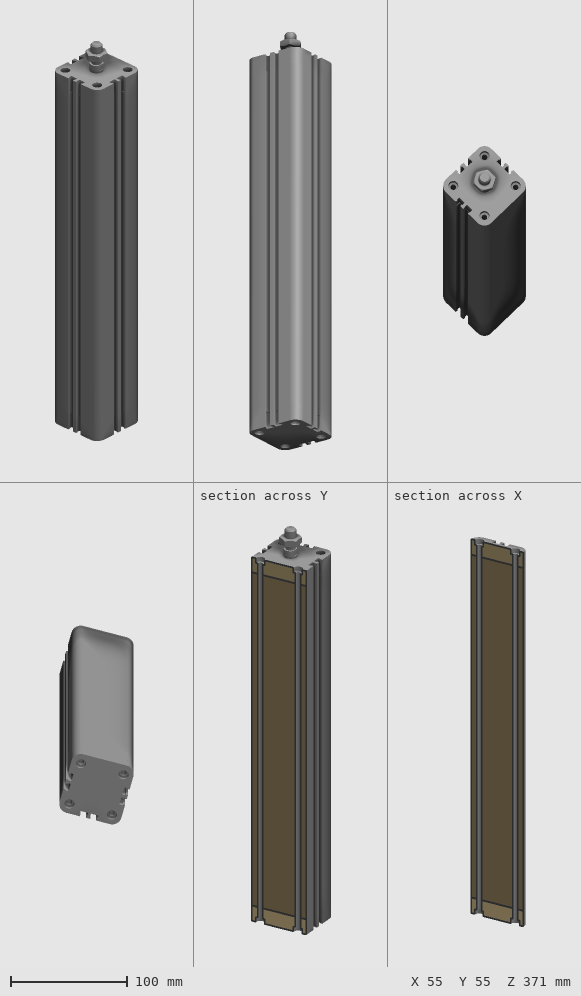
import cadquery as cq
import math

TOTAL_HEIGHT = 371.0
BODY_WIDTH = 55.0
BODY_HEIGHT = 344.5
CORNER_RADIUS = 8.0
CAP_HEIGHT = 15.0
BARREL_HEIGHT = BODY_HEIGHT - 2 * CAP_HEIGHT

GROOVE_MOUTH_WIDTH = 14.5
GROOVE_LIP = 2.0
RIB_TIP_WIDTH = 3.7
RIB_STEM_WIDTH = 2.5
CAP_GROOVE_DEPTH = 5.0
CAP_UNDERCUT_WIDTH = 16.0
BARREL_GROOVE_DEPTH = 4.5
GROOVE_ANGLES = (0, 90, -90)

HOLE_SPACING = 38.0
HOLE_DIAMETER = 5.0
COUNTERBORE_DIAMETER = 8.5
COUNTERBORE_DEPTH = 4.5

ROD_DIAMETER = 12.0
COLLAR_TOP = BODY_HEIGHT + 2.0
ROD_FLATS_WIDTH = 10.0
FLATS_TOP = 351.7
NECK_DIAMETER = 8.5
NECK_TOP = 355.0
THREAD_DIAMETER = 10.0
THREAD_CHAMFER_HEIGHT = 1.5
THREAD_CHAMFER_WIDTH = 1.0

NUT_WIDTH = 17.0
NUT_HEIGHT = 6.0
NUT_BOTTOM = 357.0
NUT_BEVEL_ANGLE = math.radians(30)


def cylinder(diameter, bottom, top):
    return cq.Workplane("XY", origin=(0, 0, bottom)).circle(diameter / 2).extrude(top - bottom)


def corner_holes(diameter, bottom, top):
    """Four cylinders to cut away at the screw positions."""
    return (
        cq.Workplane("XY", origin=(0, 0, bottom))
        .rect(HOLE_SPACING, HOLE_SPACING, forConstruction=True)
        .vertices()
        .circle(diameter / 2)
        .extrude(top - bottom)
    )


def groove_layer(width, near_depth, far_depth, height):
    """Box of the given width lying between two depths below the -Y side."""
    middle_depth = (near_depth + far_depth) / 2
    return (
        cq.Workplane("XY")
        .center(0, middle_depth - BODY_WIDTH / 2)
        .rect(width, far_depth - near_depth)
        .extrude(height)
    )


def groove_space(depth, inner_width, height):
    """Space of one groove, without its rib."""
    mouth = groove_layer(GROOVE_MOUTH_WIDTH, 0, GROOVE_LIP, height)
    interior = groove_layer(inner_width, GROOVE_LIP, depth, height)
    rib_tip = groove_layer(RIB_TIP_WIDTH, 0, GROOVE_LIP, height)
    rib_stem = groove_layer(RIB_STEM_WIDTH, GROOVE_LIP, depth, height)
    return mouth.union(interior).cut(rib_tip).cut(rib_stem)


def grooved_block(height, groove_depth, groove_inner_width):
    """Rounded square block on Z = 0 with three grooves and four screw holes along it."""
    block = (
        cq.Workplane("XY")
        .rect(BODY_WIDTH, BODY_WIDTH)
        .extrude(height)
        .edges("|Z")
        .fillet(CORNER_RADIUS)
    )
    groove = groove_space(groove_depth, groove_inner_width, height)
    for angle in GROOVE_ANGLES:
        block = block.cut(groove.rotate((0, 0, 0), (0, 0, 1), angle))
    return block.cut(corner_holes(HOLE_DIAMETER, 0, height))


def make_cap():
    """End cap with its inner face at Z = 0 and its outer face up."""
    cap = grooved_block(CAP_HEIGHT, CAP_GROOVE_DEPTH, CAP_UNDERCUT_WIDTH)
    counterbores = corner_holes(COUNTERBORE_DIAMETER, CAP_HEIGHT - COUNTERBORE_DEPTH, CAP_HEIGHT)
    return cap.cut(counterbores)


def make_barrel():
    """Barrel between the caps; its groove sides are straight."""
    barrel = grooved_block(BARREL_HEIGHT, BARREL_GROOVE_DEPTH, GROOVE_MOUTH_WIDTH)
    return barrel.translate((0, 0, CAP_HEIGHT))


def make_rod():
    """Rod end standing on the top cap: collar, wrench flats, neck and chamfered thread."""
    collar = cylinder(ROD_DIAMETER, BODY_HEIGHT, COLLAR_TOP)
    flats_limit = (
        cq.Workplane("XY", origin=(0, 0, COLLAR_TOP))
        .rect(ROD_FLATS_WIDTH, ROD_DIAMETER)
        .extrude(FLATS_TOP - COLLAR_TOP)
    )
    flats = cylinder(ROD_DIAMETER, COLLAR_TOP, FLATS_TOP).intersect(flats_limit)
    neck = cylinder(NECK_DIAMETER, FLATS_TOP, NECK_TOP)
    thread = (
        cylinder(THREAD_DIAMETER, NECK_TOP, TOTAL_HEIGHT)
        .faces(">Z")
        .edges()
        .chamfer(THREAD_CHAMFER_HEIGHT, THREAD_CHAMFER_WIDTH)
    )
    return collar.union(flats).union(neck).union(thread)


def make_nut():
    """Hexagonal nut whose corners are bevelled by a cone at both ends."""
    corner_radius = NUT_WIDTH / 2 / math.cos(math.pi / 6)
    bevel_radius = NUT_WIDTH / 2
    bevel_drop = (corner_radius - bevel_radius) * math.tan(NUT_BEVEL_ANGLE)
    hexagon = (
        cq.Workplane("XY")
        .polygon(6, 2 * corner_radius)
        .extrude(NUT_HEIGHT)
        .rotate((0, 0, 0), (0, 0, 1), 30)
    )
    bevelled_disc = (
        cq.Workplane("XZ")
        .lineTo(bevel_radius, 0)
        .lineTo(corner_radius, bevel_drop)
        .lineTo(corner_radius, NUT_HEIGHT - bevel_drop)
        .lineTo(bevel_radius, NUT_HEIGHT)
        .lineTo(0, NUT_HEIGHT)
        .close()
        .revolve(360, (0, 0, 0), (0, 1, 0))
    )
    bore = cylinder(THREAD_DIAMETER, 0, NUT_HEIGHT)
    return hexagon.intersect(bevelled_disc).cut(bore).translate((0, 0, NUT_BOTTOM))


def make_caps():
    """Bottom and top caps: the same part, with the bottom one turned over about Y."""
    caps = []
    for turn, inner_face in ((180, CAP_HEIGHT), (0, BODY_HEIGHT - CAP_HEIGHT)):
        cap = make_cap().rotate((0, 0, 0), (0, 1, 0), turn)
        caps.append(cap.translate((0, 0, inner_face)).solids().val())
    return caps


caps = make_caps()
barrel = make_barrel().solids()
rod = make_rod().solids()
nut = make_nut().solids()

result = cq.Compound.makeCompound([*caps, barrel.val(), rod.val(), nut.val()])